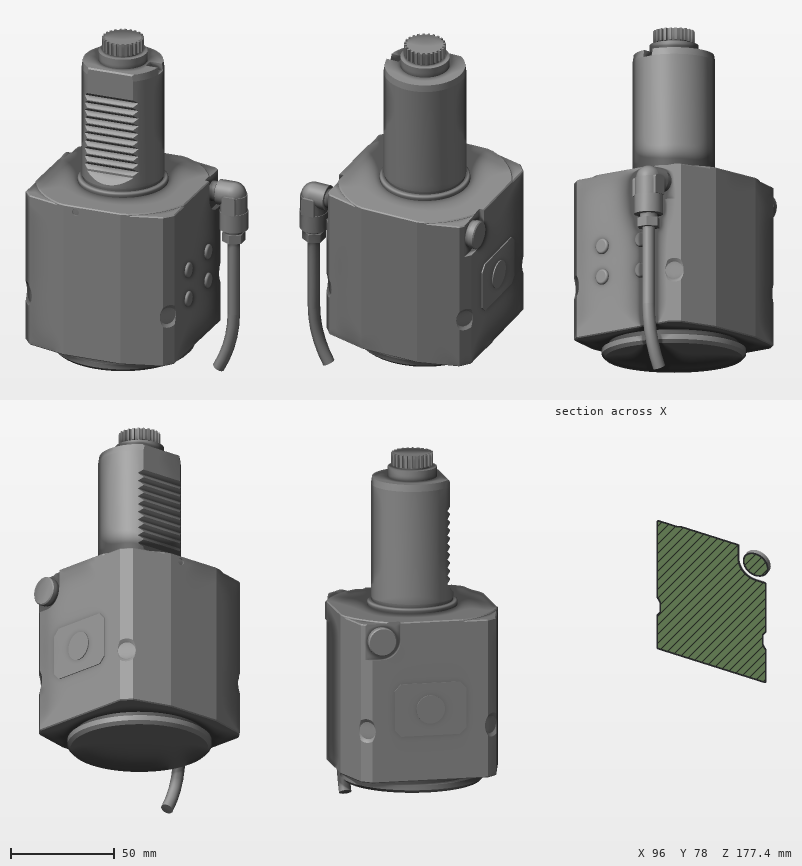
import cadquery as cq
import math


HOUSING_WIDTH = 78.0
HALF_WIDTH = HOUSING_WIDTH / 2
FRONT_HALF_WIDTH = 14.9
SHOULDER_X = 35.0
SHOULDER_Y = 33.5
SIDE_HALF_WIDTH = 28.5
HOUSING_BOTTOM = -79.0
TOP_STEP = 0.7
TOP_STEP_DIAMETER = 84.5
EDGE_BREAK = 0.5

NECK_DIAMETER = 62.8
FLANGE_DIAMETER = 69.8
FLANGE_TOP = -82.0
FLANGE_BOTTOM = -86.0
FLANGE_CHAMFER = 1.6

RING_DIAMETER = 43.8
RING_TOP = 2.3
RING_ROUNDING = 1.0
SHANK_DIAMETER = 40.0
SHANK_TOP = 63.2
SHANK_START = 3.9
UNDERCUT_DIAMETER = 39.2
LEAD_IN_HEIGHT = 3.4
LEAD_IN_DEPTH = 0.5
COLLAR_DIAMETER = 23.8
COLLAR_TOP = 68.2
SPLINE_DIAMETER = 20.2
SPLINE_ROOT_DIAMETER = 17.8
SPLINE_TOP = 75.0
SPLINE_TEETH = 24
SPLINE_NECK = 0.9
TOOTH_TIP_SHARE = 0.4
TOOTH_BASE_SHARE = 0.5

FLAT_Y = -16.0
FLAT_BOTTOM = 9.2
FLAT_TOP_CHAMFER = 0.7
NOTCH_COUNT = 10
NOTCH_ROW = 36.0
NOTCH_PITCH = NOTCH_ROW / (NOTCH_COUNT - 1)
NOTCH_DEPTH = 1.8
TOP_NOTCH_Z = 48.1

SLOT_WIDTH = 5.3
SLOT_DEPTH = 3.5
SLOT_TOP_X = 13.0
SLOT_FLOOR_X = 15.6

PORT_Y = 24.0
PORT_Z = -8.9
PORT_RADIUS = 9.2
PORT_FLOOR_X = 36.5
PLUG_DIAMETER = 14.0
PLUG_NECK_DIAMETER = 13.3
PLUG_NECK_X = 38.2
PLUG_OUTER_X = 41.0
PLUG_CHAMFER = 0.5

PLATE_Z = -43.5
PLATE_WIDTH = 35.5
PLATE_HEIGHT = 26.0
PLATE_CORNER = 3.2
PLATE_THICKNESS = 0.5
DISC_DIAMETER = 14.0
DISC_THICKNESS = 1.0

BUTTON_DIAMETER = 7.6
BUTTON_HEIGHT = 1.5
BUTTON_CROWN = 1.0
BUTTON_Y = 12.2
BUTTON_SPACING_Z = 15.0

CORNER_RECESS_Z = -53.2
CORNER_FLOOR_DIAMETER = 8.5
CORNER_MOUTH_DIAMETER = 11.7
CORNER_RECESS_DEPTH = 1.0

PIN_HOLE_DIAMETER = 3.4
PIN_HOLE_X = -8.5
PIN_HOLE_Z = -3.0
PIN_HOLE_DEPTH = 0.5

HOSE_X = 48.0
SPIGOT_DIAMETER = 10.0
SPIGOT_END_X = 39.5
SPIGOT_GROOVE_DIAMETER = 9.2
ELBOW_DIAMETER = 12.5
ELBOW_INNER_X = 40.3
DROP_DIAMETER = 13.3
PAD_WIDTH = 6.7
PAD_DEPTH = 14.5
PAD_TOP = -8.2
PAD_CORNER = 1.5
SLEEVE_DIAMETER = 14.0
SLEEVE_TOP = -17.4
SLEEVE_BOTTOM = -26.6
GLAND_DIAMETER = 8.5
NUT_WIDTH = 10.0
NUT_TOP = -28.8
NUT_BOTTOM = -33.2
HOSE_DIAMETER = 6.0
BEND_START = -71.2
BEND_RADIUS = 59.5
BEND_ANGLE = 30.0


def rod(diameter, bottom, top, x=0.0, y=0.0):
    """Vertical cylinder between two heights."""
    return cq.Workplane("XY", origin=(x, y, bottom)).circle(diameter / 2).extrude(top - bottom)


def rod_along_x(diameter, start, end, y, z):
    """Cylinder along X between two places."""
    return cq.Workplane("YZ", origin=(start, y, z)).circle(diameter / 2).extrude(end - start)


def housing_prism(top):
    """Twelve-sided housing up to the given height, with broken end edges."""
    quarter = [
        (HALF_WIDTH, SIDE_HALF_WIDTH),
        (SHOULDER_X, SHOULDER_Y),
        (FRONT_HALF_WIDTH, HALF_WIDTH),
    ]
    right_half = [(x, -y) for x, y in reversed(quarter)] + quarter
    left_half = [(-x, -y) for x, y in right_half]
    return (
        cq.Workplane("XY", origin=(0, 0, HOUSING_BOTTOM))
        .polyline(right_half + left_half)
        .close()
        .extrude(top - HOUSING_BOTTOM)
        .faces("<Z or >Z")
        .chamfer(EDGE_BREAK)
    )


def housing():
    turned = rod(TOP_STEP_DIAMETER, HOUSING_BOTTOM, 0).faces(">Z").chamfer(EDGE_BREAK)
    return housing_prism(-TOP_STEP).union(housing_prism(0).intersect(turned))


def flange():
    neck = rod(NECK_DIAMETER, FLANGE_TOP, HOUSING_BOTTOM)
    disc = rod(FLANGE_DIAMETER, FLANGE_BOTTOM, FLANGE_TOP).faces("<Z").chamfer(FLANGE_CHAMFER)
    return neck.union(disc)


def spline():
    tooth_angle = 2 * math.pi / SPLINE_TEETH
    outer = SPLINE_DIAMETER / 2
    root = SPLINE_ROOT_DIAMETER / 2
    half_tip = TOOTH_TIP_SHARE * tooth_angle / 2
    half_base = TOOTH_BASE_SHARE * tooth_angle / 2
    corners = [(root, -half_base), (outer, -half_tip), (outer, half_tip), (root, half_base)]
    points = []
    for tooth in range(SPLINE_TEETH):
        for radius, offset in corners:
            angle = tooth * tooth_angle + offset
            points.append((radius * math.cos(angle), radius * math.sin(angle)))
    toothed_bottom = COLLAR_TOP + SPLINE_NECK
    teeth = (
        cq.Workplane("XY", origin=(0, 0, toothed_bottom))
        .polyline(points)
        .close()
        .extrude(SPLINE_TOP - toothed_bottom)
    )
    return teeth.union(rod(SPLINE_ROOT_DIAMETER, COLLAR_TOP, toothed_bottom))


def shank_flat():
    """Space in front of the flat, with its sloped run-out and V notches."""
    clear_y = -SHANK_DIAMETER
    run_out = FLAT_Y - clear_y
    space = (
        cq.Workplane("YZ")
        .polyline([
            (FLAT_Y + FLAT_TOP_CHAMFER, SHANK_TOP),
            (FLAT_Y, SHANK_TOP - FLAT_TOP_CHAMFER),
            (FLAT_Y, FLAT_BOTTOM),
            (clear_y, FLAT_BOTTOM - run_out),
            (clear_y, SHANK_TOP),
        ])
        .close()
        .extrude(SHANK_DIAMETER / 2, both=True)
    )
    for index in range(NOTCH_COUNT):
        z = TOP_NOTCH_Z - index * NOTCH_PITCH
        notch = (
            cq.Workplane("YZ")
            .polyline([(FLAT_Y, z - NOTCH_DEPTH), (FLAT_Y + NOTCH_DEPTH, z), (FLAT_Y, z + NOTCH_DEPTH)])
            .close()
            .extrude(SHANK_DIAMETER / 2, both=True)
        )
        space = space.union(notch)
    return space


def shank_slot():
    floor = SHANK_TOP - SLOT_DEPTH
    return (
        cq.Workplane("XZ")
        .polyline([
            (SLOT_TOP_X, SHANK_TOP),
            (SLOT_FLOOR_X, floor),
            (SHANK_DIAMETER, floor),
            (SHANK_DIAMETER, SHANK_TOP),
        ])
        .close()
        .extrude(SLOT_WIDTH / 2, both=True)
    )


def shank():
    radius = SHANK_DIAMETER / 2
    undercut_radius = UNDERCUT_DIAMETER / 2
    body = (
        cq.Workplane("XZ")
        .polyline([
            (0, 0),
            (undercut_radius, 0),
            (undercut_radius, SHANK_START),
            (radius, SHANK_START),
            (radius, SHANK_TOP - LEAD_IN_HEIGHT),
            (radius - LEAD_IN_DEPTH, SHANK_TOP),
            (0, SHANK_TOP),
        ])
        .close()
        .revolve(360, (0, 0), (0, 1))
    )
    ring = rod(RING_DIAMETER, 0, RING_TOP).faces(">Z").edges().fillet(RING_ROUNDING)
    body = body.cut(shank_flat()).cut(shank_slot())
    return body.union(ring).union(rod(COLLAR_DIAMETER, SHANK_TOP, COLLAR_TOP)).union(spline())


def port_recess():
    """Round-cornered recess on the +X side, open to the top and the back."""
    depth = HALF_WIDTH - PORT_FLOOR_X
    height = PORT_RADIUS - PORT_Z
    length = HALF_WIDTH - PORT_Y + PORT_RADIUS
    return (
        cq.Workplane("YZ", origin=(PORT_FLOOR_X, PORT_Y - PORT_RADIUS, PORT_Z - PORT_RADIUS))
        .rect(length, height, centered=False)
        .extrude(depth)
        .edges("|X and <Y and <Z")
        .fillet(PORT_RADIUS)
    )


def plug():
    neck = rod_along_x(PLUG_NECK_DIAMETER, -PLUG_NECK_X, -PORT_FLOOR_X, PORT_Y, PORT_Z)
    head = rod_along_x(PLUG_DIAMETER, -PLUG_OUTER_X, -PLUG_NECK_X, PORT_Y, PORT_Z)
    return neck.union(head.faces("<X").chamfer(PLUG_CHAMFER))


def name_plate():
    plate = (
        cq.Workplane("YZ", origin=(-HALF_WIDTH, 0, PLATE_Z))
        .rect(PLATE_WIDTH, PLATE_HEIGHT)
        .extrude(-PLATE_THICKNESS)
        .edges("|X")
        .chamfer(PLATE_CORNER)
    )
    return plate.union(rod_along_x(DISC_DIAMETER, -HALF_WIDTH - DISC_THICKNESS, -HALF_WIDTH, 0, PLATE_Z))


def button_screws():
    screws = cq.Workplane("XY")
    for y in (-BUTTON_Y, BUTTON_Y):
        for z in (PLATE_Z - BUTTON_SPACING_Z / 2, PLATE_Z + BUTTON_SPACING_Z / 2):
            head = rod_along_x(BUTTON_DIAMETER, HALF_WIDTH, HALF_WIDTH + BUTTON_HEIGHT, y, z)
            screws = screws.union(head.faces(">X").fillet(BUTTON_CROWN))
    return screws


def corner_recess(side_x, side_y):
    """Cone narrowing to a flat floor, square to one vertical corner face."""
    normal = (side_x * (SHOULDER_Y - SIDE_HALF_WIDTH), side_y * (HALF_WIDTH - SHOULDER_X), 0)
    mid_x = side_x * (HALF_WIDTH + SHOULDER_X) / 2
    mid_y = side_y * (SIDE_HALF_WIDTH + SHOULDER_Y) / 2
    face = cq.Plane(origin=(mid_x, mid_y, CORNER_RECESS_Z), xDir=(0, 0, 1), normal=normal)
    return (
        cq.Workplane(face)
        .workplane(offset=-CORNER_RECESS_DEPTH)
        .circle(CORNER_FLOOR_DIAMETER / 2)
        .workplane(offset=CORNER_RECESS_DEPTH)
        .circle(CORNER_MOUTH_DIAMETER / 2)
        .loft()
    )


def pin_hole():
    return (
        cq.Workplane("XZ", origin=(PIN_HOLE_X, -HALF_WIDTH, PIN_HOLE_Z))
        .circle(PIN_HOLE_DIAMETER / 2)
        .extrude(-PIN_HOLE_DEPTH)
    )


def elbow():
    spigot = rod_along_x(SPIGOT_DIAMETER, PORT_FLOOR_X, SPIGOT_END_X, PORT_Y, PORT_Z)
    groove = rod_along_x(SPIGOT_GROOVE_DIAMETER, SPIGOT_END_X, ELBOW_INNER_X, PORT_Y, PORT_Z)
    arm = rod_along_x(ELBOW_DIAMETER, ELBOW_INNER_X, HOSE_X, PORT_Y, PORT_Z)
    ball = cq.Workplane("XY", origin=(HOSE_X, PORT_Y, PORT_Z)).sphere(ELBOW_DIAMETER / 2)
    drop = rod(DROP_DIAMETER, SLEEVE_TOP, PORT_Z, HOSE_X, PORT_Y)
    pads = (
        cq.Workplane("XY", origin=(HOSE_X, PORT_Y, SLEEVE_TOP))
        .rect(PAD_WIDTH, PAD_DEPTH)
        .extrude(PAD_TOP - SLEEVE_TOP)
        .edges("|Y and >Z")
        .fillet(PAD_CORNER)
    )
    sleeve = rod(SLEEVE_DIAMETER, SLEEVE_BOTTOM, SLEEVE_TOP, HOSE_X, PORT_Y)
    gland = rod(GLAND_DIAMETER, NUT_TOP, SLEEVE_BOTTOM, HOSE_X, PORT_Y)
    fitting = spigot
    for piece in (groove, arm, ball, drop, pads, sleeve, gland):
        fitting = fitting.union(piece)
    return fitting


def hose():
    nut = (
        cq.Workplane("XY", origin=(HOSE_X, PORT_Y, NUT_BOTTOM))
        .transformed(rotate=(0, 0, 90))
        .polygon(6, NUT_WIDTH / math.cos(math.pi / 6))
        .extrude(NUT_TOP - NUT_BOTTOM)
    )
    straight = rod(HOSE_DIAMETER, BEND_START, NUT_BOTTOM, HOSE_X, PORT_Y)
    bend = (
        cq.Workplane("XY", origin=(HOSE_X, PORT_Y, BEND_START))
        .circle(HOSE_DIAMETER / 2)
        .revolve(BEND_ANGLE, (-BEND_RADIUS, 0), (-BEND_RADIUS, 1))
    )
    return nut.union(straight).union(bend)


result = housing().cut(port_recess()).cut(port_recess().mirror("YZ")).cut(pin_hole())
for side_x in (-1, 1):
    for side_y in (-1, 1):
        result = result.cut(corner_recess(side_x, side_y))
for feature in (flange(), shank(), plug(), name_plate(), button_screws(), elbow(), hose()):
    result = result.union(feature)